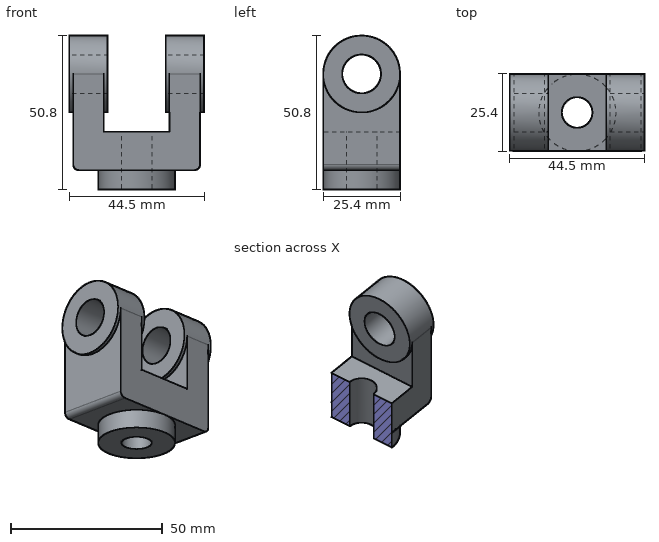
import cadquery as cq

depth = 25.4
spigot_height = 6.35
base_thickness = 12.7
axis_height = 38.1
eye_length = 12.7
eye_gap = 19.05
pin_hole_diameter = 12.7
eye_overhang = 1.25
corner_radius = 1.95
stem_hole_diameter = 10.0

arm_thickness = eye_length - 2 * eye_overhang
arm_gap = eye_gap + 2 * eye_overhang
fork_width = arm_gap + 2 * arm_thickness
arm_height = axis_height - spigot_height - base_thickness
eye_center_x = (eye_gap + eye_length) / 2
arm_center_x = (arm_gap + arm_thickness) / 2
floor_height = spigot_height + base_thickness


def upright_box(width, height, center_x, bottom):
    """Box of full fork depth standing at the given height."""
    return (
        cq.Workplane("XY", origin=(center_x, 0, bottom))
        .box(width, depth, height, centered=(True, True, False))
    )


def cylinder_along_x(diameter, length, center_x):
    """Cylinder on the pin axis, centred at center_x."""
    return (
        cq.Workplane("YZ", origin=(center_x - length / 2, 0, axis_height))
        .circle(diameter / 2)
        .extrude(length)
    )


body = upright_box(fork_width, base_thickness, 0, spigot_height)
body = body.faces("<Z").edges("|Y").fillet(corner_radius)

spigot = cq.Workplane("XY").circle(depth / 2).extrude(spigot_height)
body = body.union(spigot)

for side in (-1, 1):
    arm = upright_box(arm_thickness, arm_height, side * arm_center_x, floor_height)
    eye = cylinder_along_x(depth, eye_length, side * eye_center_x)
    body = body.union(arm).union(eye)
pin_hole = cylinder_along_x(pin_hole_diameter, eye_gap + 2 * eye_length, 0)
body = body.cut(pin_hole)

stem_hole = cq.Workplane("XY").circle(stem_hole_diameter / 2).extrude(floor_height)
result = body.cut(stem_hole)